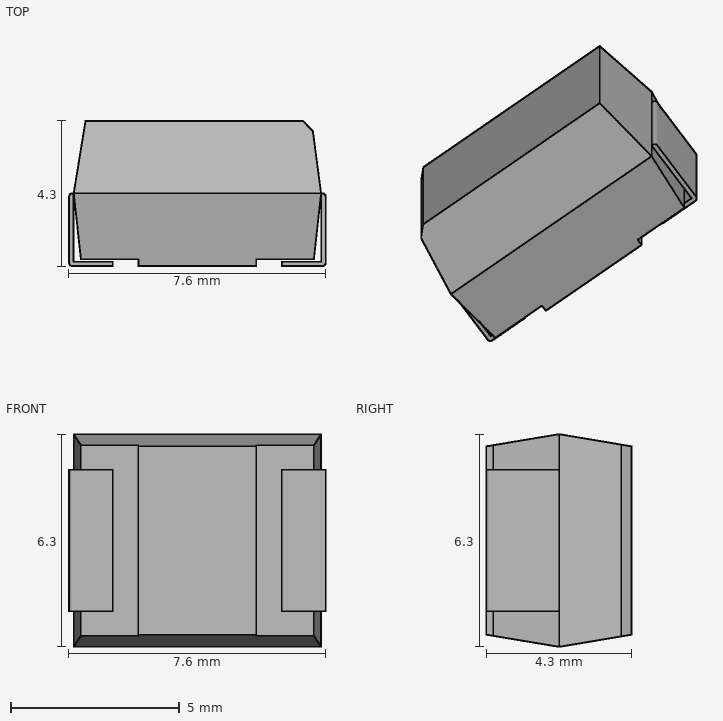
import cadquery as cq

overall_length = 7.6
overall_depth = 4.3
overall_height = 6.3

strip_thickness = 0.14
strip_width = 4.195
foot_length = 1.3
bend_radius = 0.1

parting_y = 2.16
parting_half_length = overall_length / 2 - strip_thickness
parting_half_height = overall_height / 2
end_half_height = 2.79
floor_y = 0.205
floor_half_length = 3.45
pad_half_length = 1.75
back_half_length = 3.31

bevel_depth = 0.305
bevel_start_x = 3.12
bevel_end_x = 3.42


def extrude_along_z(points, height):
    """Extrude an XY outline, centred on Z = 0."""
    return cq.Workplane("XY").polyline(points).close().extrude(height / 2, both=True)


def taper_envelope(end_y):
    """Wedge narrowing in Z from the parting plane to the face at end_y."""
    points = [
        (parting_y, -parting_half_height),
        (end_y, -end_half_height),
        (end_y, end_half_height),
        (parting_y, parting_half_height),
    ]
    return cq.Workplane("YZ").polyline(points).close().extrude(overall_length / 2, both=True)


def make_back_half():
    """Back half of the case, with the polarity bevel."""
    outline = [
        (-parting_half_length, parting_y),
        (-back_half_length, overall_depth),
        (bevel_start_x, overall_depth),
        (bevel_end_x, overall_depth - bevel_depth),
        (parting_half_length, parting_y),
    ]
    return extrude_along_z(outline, overall_height).intersect(taper_envelope(overall_depth))


def make_mounting_half():
    """Mounting half of the case, with the raised central pad."""
    outline = [
        (-parting_half_length, parting_y),
        (-floor_half_length, floor_y),
        (-pad_half_length, floor_y),
        (-pad_half_length, 0),
        (pad_half_length, 0),
        (pad_half_length, floor_y),
        (floor_half_length, floor_y),
        (parting_half_length, parting_y),
    ]
    return extrude_along_z(outline, overall_height).intersect(taper_envelope(0))


def make_terminal(side):
    """L-shaped strip at one end; side is -1 for the -X end and +1 for the +X end."""
    outer_x = side * overall_length / 2
    inner_x = side * parting_half_length
    foot_x = side * (overall_length / 2 - foot_length)
    outline = [
        (outer_x, 0),
        (outer_x, parting_y),
        (inner_x, parting_y),
        (inner_x, strip_thickness),
        (foot_x, strip_thickness),
        (foot_x, 0),
    ]
    strip = extrude_along_z(outline, strip_width)
    outer_face = ">X" if side > 0 else "<X"
    return strip.faces(outer_face).edges("|Z").fillet(bend_radius)


back_half = make_back_half()
mounting_half = make_mounting_half()
terminals = [make_terminal(side) for side in (-1, 1)]

result = cq.Compound.makeCompound(
    [back_half.val(), mounting_half.val(), *[terminal.val() for terminal in terminals]]
)